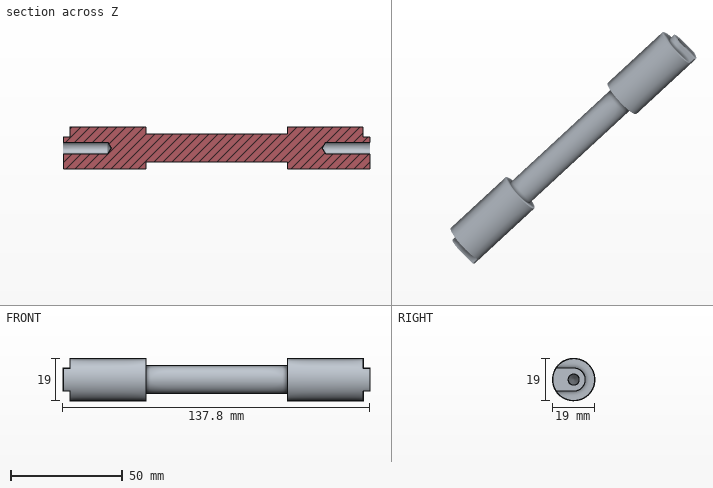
import cadquery as cq
import math

total_length = 137.8
barrel_diameter = 19.0
shaft_diameter = 12.7
shaft_length = 63.4

tongue_length = 3.0
tongue_width = 10.3

hole_diameter = 5.0
hole_depth = 20.0
drill_point_angle = 118.0

body_length = total_length - 2 * tongue_length
barrel_length = (body_length - shaft_length) / 2


def cylinder_along_x(diameter, start, length):
    return cq.Workplane("YZ", origin=(start, 0, 0)).circle(diameter / 2).extrude(length)


def make_tongue(start):
    """U-shaped tongue, trimmed to the barrel's round outline."""
    radius = tongue_width / 2
    front = -barrel_diameter / 2
    outline = (
        cq.Workplane("YZ", origin=(start, 0, 0))
        .moveTo(front, -radius)
        .lineTo(0, -radius)
        .threePointArc((radius, 0), (0, radius))
        .lineTo(front, radius)
        .close()
    )
    envelope = cylinder_along_x(barrel_diameter, start, tongue_length)
    return outline.extrude(tongue_length).intersect(envelope)


def make_drilled_hole(start):
    """Drill shape entering at start towards +X, with a conical point."""
    radius = hole_diameter / 2
    point_length = radius / math.tan(math.radians(drill_point_angle / 2))
    return (
        cq.Workplane("XY", origin=(start, 0, 0))
        .lineTo(0, radius)
        .lineTo(hole_depth, radius)
        .lineTo(hole_depth + point_length, 0)
        .close()
        .revolve(360, (0, 0, 0), (1, 0, 0))
    )


def make_left_end():
    """Drilled barrel with its tongue at the -X end."""
    left = -total_length / 2
    barrel = cylinder_along_x(barrel_diameter, left + tongue_length, barrel_length)
    return barrel.union(make_tongue(left)).cut(make_drilled_hole(left))


left_end = make_left_end()
right_end = left_end.mirror("YZ")
shaft = cylinder_along_x(shaft_diameter, -shaft_length / 2, shaft_length)
result = shaft.union(left_end).union(right_end)